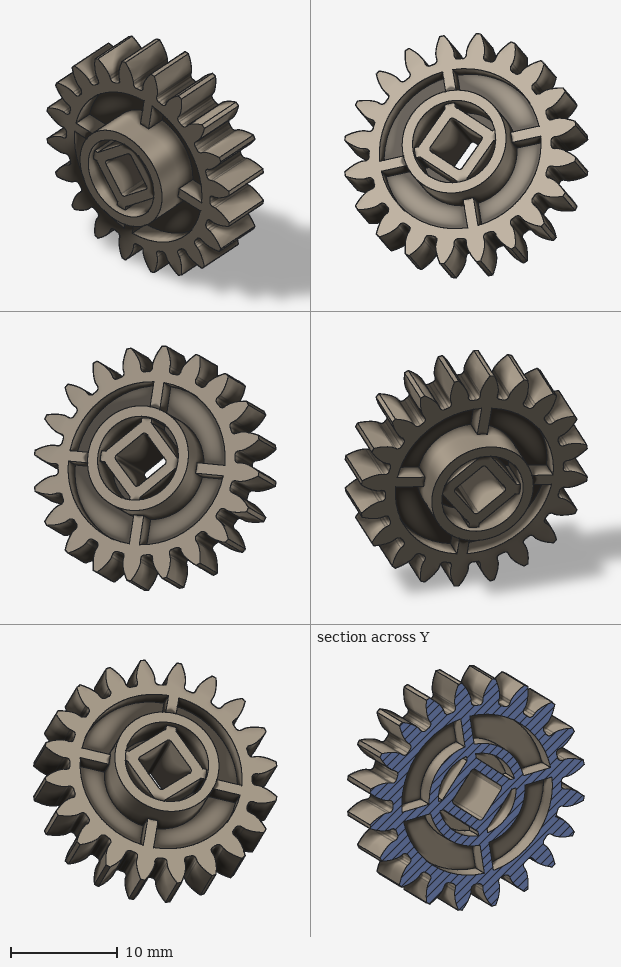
import cadquery as cq
import math

OUTER_SPAN = 22.25
TOOTH_COUNT = 20
PITCH_RADIUS = 10.0
PRESSURE_ANGLE = math.radians(20.0)
TIP_HALF_ANGLE = math.radians(1.1)
MODULE = 2 * PITCH_RADIUS / TOOTH_COUNT
HALF_PITCH_ANGLE = math.pi / TOOTH_COUNT
BASE_RADIUS = PITCH_RADIUS * math.cos(PRESSURE_ANGLE)
DEDENDUM = 1.25 * MODULE
ROOT_RADIUS = PITCH_RADIUS - DEDENDUM
ROOT_FILLET = 0.38 * MODULE
TIP_RADIUS = OUTER_SPAN / 2 / math.cos(HALF_PITCH_ANGLE - TIP_HALF_ANGLE)
FLANK_STEPS = 8

GEAR_WIDTH = 5.0
HUB_LENGTH = 10.0
HUB_DIAMETER = 10.0
BORE_DIAMETER = 8.0
POCKET_DIAMETER = 15.57
WALL = 1.0
RIB_TILT = 9.0

SOCKET_RECESS = 0.75
SOCKET_LENGTH = HUB_LENGTH - 2 * SOCKET_RECESS
SHAFT_HOLE_SIDE = 3.78
SHAFT_HOLE_FILLET = 0.31
SOCKET_SIDE = SHAFT_HOLE_SIDE + 2 * WALL
SOCKET_TILT = RIB_TILT + 45.0


def end_plane(length):
    """Sketch plane at the +Y end of a feature that is centred on mid width; it faces -Y."""
    return cq.Workplane("XZ", origin=(0, length / 2, 0))


def disc(diameter, length):
    return end_plane(length).circle(diameter / 2).extrude(length)


def square_bar(side, length):
    """Square bar along the gear axis, with its corners on the rib directions."""
    bar = end_plane(length).rect(side, side).extrude(length)
    return bar.rotate((0, 0, 0), (0, 1, 0), SOCKET_TILT)


def crossed_bars(span, length):
    """Bars through the axis that form the ribs or the socket arms."""
    bars = end_plane(length).rect(span, WALL).extrude(length)
    bars = bars.union(end_plane(length).rect(WALL, span).extrude(length))
    return bars.rotate((0, 0, 0), (0, 1, 0), RIB_TILT)


def polar(radius, angle):
    return (radius * math.cos(angle), radius * math.sin(angle))


def involute(radius):
    """Involute angle at a radius outside the base circle."""
    angle = math.acos(BASE_RADIUS / radius)
    return math.tan(angle) - angle


def tooth_half_angle(radius):
    return TIP_HALF_ANGLE + involute(TIP_RADIUS) - involute(radius)


def tooth_gap():
    """Cutter for the gap centred on +X: involute flanks, radial below the base circle."""
    flank = []
    for step in range(FLANK_STEPS + 1):
        roll = math.sqrt((TIP_RADIUS / BASE_RADIUS) ** 2 - 1) * step / FLANK_STEPS
        radius = BASE_RADIUS * math.sqrt(1 + roll ** 2)
        flank.append(polar(radius, HALF_PITCH_ANGLE - tooth_half_angle(radius)))
    mirrored_flank = [(x, -y) for x, y in flank]
    root_half_angle = HALF_PITCH_ANGLE - tooth_half_angle(BASE_RADIUS)
    beyond_tip = TIP_RADIUS + MODULE
    gap = (
        end_plane(GEAR_WIDTH)
        .moveTo(*polar(ROOT_RADIUS, -root_half_angle))
        .threePointArc((ROOT_RADIUS, 0), polar(ROOT_RADIUS, root_half_angle))
        .lineTo(*flank[0])
        .spline(flank[1:], includeCurrent=True)
        .lineTo(beyond_tip, flank[-1][1])
        .lineTo(beyond_tip, mirrored_flank[-1][1])
        .lineTo(*mirrored_flank[-1])
        .spline(mirrored_flank[-2::-1], includeCurrent=True)
        .close()
        .extrude(GEAR_WIDTH)
    )
    return gap.edges("|Y").edges("<X").fillet(ROOT_FILLET)


def toothed_rim():
    rim = disc(2 * TIP_RADIUS, GEAR_WIDTH)
    gap = tooth_gap()
    for index in range(TOOTH_COUNT):
        rim = rim.cut(gap.rotate((0, 0, 0), (0, 1, 0), index * 360 / TOOTH_COUNT))
    return rim.cut(disc(POCKET_DIAMETER, GEAR_WIDTH))


def web_and_ribs():
    ribs = crossed_bars(2 * ROOT_RADIUS, GEAR_WIDTH).intersect(disc(POCKET_DIAMETER, GEAR_WIDTH))
    return disc(POCKET_DIAMETER, WALL).union(ribs)


def hub_with_socket():
    socket = square_bar(SOCKET_SIDE, SOCKET_LENGTH).union(crossed_bars(HUB_DIAMETER, SOCKET_LENGTH))
    socket = socket.intersect(disc(BORE_DIAMETER, HUB_LENGTH))
    sleeve = disc(HUB_DIAMETER, HUB_LENGTH).cut(disc(BORE_DIAMETER, HUB_LENGTH))
    web = disc(BORE_DIAMETER, WALL)
    shaft_hole = square_bar(SHAFT_HOLE_SIDE, HUB_LENGTH).edges("|Y").fillet(SHAFT_HOLE_FILLET)
    return sleeve.union(web).union(socket).cut(shaft_hole)


spokes = web_and_ribs().cut(disc(HUB_DIAMETER, HUB_LENGTH))
result = toothed_rim().union(spokes).union(hub_with_socket()).clean()